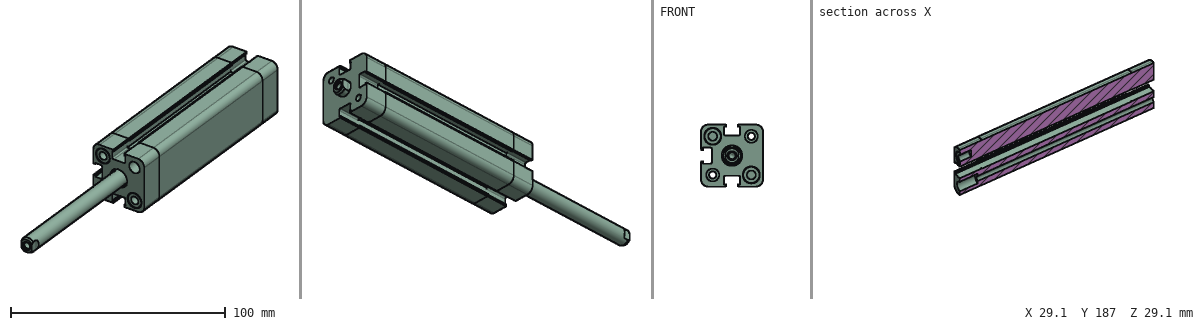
import cadquery as cq
import math


overall_length = 187.0
cap_length = 12.3
tube_length = 83.6
rear_rod_reach = 4.2
body_length = tube_length + 2 * cap_length
front_tip_y = -overall_length / 2
body_rear_y = overall_length / 2 - rear_rod_reach
body_front_y = body_rear_y - body_length

tube_width = 29.05
cap_width = 29.0
corner_radius = 3.5

slot_channel_width = 7.4
slot_depth = 5.1
slot_lip = 1.1
cap_mouth_width = 6.2
slot_floor_radius = 0.75
tube_mouth_width = 5.2
tube_mouth_step = 0.2
slot_angles = (-90, 0, 180)

corner_hole_offset = 9.0
screw_recess_diameter = 8.0
screw_recess_depth = 0.1
screw_seat_diameter = 7.5
screw_seat_depth = 0.2
screw_socket_diameter = 4.13
screw_socket_depth = 6.0
mounting_bore_diameter = 6.0
mounting_bore_depth = 10.0
mounting_hole_diameter = 3.24

rod_diameter = 8.0
rod_clearance_diameter = 9.6
rod_clearance_depth = 2.0
rod_chamfer_length = 1.1
rod_chamfer_depth = 0.6
across_flats = 6.0
flat_length = 3.2
thread_diameter = 3.24
thread_depth = 10.0
thread_mouth_diameter = 4.25
drill_point_angle = 118.0


def bar_along_y(section_width, section_height, center_z, front_y, length):
    """Rectangular bar running from front_y toward +Y, centred on x = 0."""
    return (
        cq.Workplane("XZ", origin=(0, front_y, center_z))
        .rect(section_width, section_height)
        .extrude(-length)
    )


def bar_between(width, low_z, high_z, front_y, length):
    return bar_along_y(width, high_z - low_z, (low_z + high_z) / 2, front_y, length)


def cylinder_along_y(diameter, front_y, length, x=0.0, z=0.0):
    """Cylinder running from front_y toward +Y."""
    return cq.Workplane("XZ", origin=(x, front_y, z)).circle(diameter / 2).extrude(-length)


def cut_slots(bar, cutter):
    """Cut a slot shaped for the top side into every slotted side."""
    for angle in slot_angles:
        bar = bar.cut(cutter.rotate((0, 0, 0), (0, 1, 0), angle))
    return bar


def square_bar(width, front_y, length):
    return bar_along_y(width, width, 0, front_y, length).edges("|Y").fillet(corner_radius)


def channel_below_lip(outer_z, front_y, length):
    """Wide inner part of a top-side slot, from the underside of the lips to the floor."""
    floor_z = outer_z - slot_depth
    return bar_between(slot_channel_width, floor_z, outer_z - slot_lip, front_y, length)


def make_cap(front_y):
    outer_z = cap_width / 2
    channel = channel_below_lip(outer_z, front_y, cap_length)
    channel = channel.edges("|Y and <Z").fillet(slot_floor_radius)
    mouth = bar_between(cap_mouth_width, outer_z - slot_lip, outer_z, front_y, cap_length)
    return cut_slots(square_bar(cap_width, front_y, cap_length), channel.union(mouth))


def make_tube():
    front_y = body_front_y + cap_length
    outer_z = tube_width / 2
    channel = channel_below_lip(outer_z, front_y, tube_length)
    mouth = bar_between(tube_mouth_width, outer_z - slot_lip, outer_z, front_y, tube_length)
    step = bar_between(cap_mouth_width, outer_z - tube_mouth_step, outer_z, front_y, tube_length)
    return cut_slots(square_bar(tube_width, front_y, tube_length), channel.union(mouth).union(step))


def cut_corner_holes(body):
    for x in (-corner_hole_offset, corner_hole_offset):
        recess = cylinder_along_y(screw_recess_diameter, body_front_y, screw_recess_depth, x, -x)
        seat = cylinder_along_y(screw_seat_diameter, body_front_y, screw_seat_depth, x, -x)
        socket_end = screw_seat_depth + screw_socket_depth
        socket = cylinder_along_y(screw_socket_diameter, body_front_y, socket_end, x, -x)
        bore = cylinder_along_y(mounting_bore_diameter, body_front_y, mounting_bore_depth, x, x)
        through = cylinder_along_y(mounting_hole_diameter, body_front_y, body_length, x, x)
        body = body.cut(recess).cut(seat).cut(socket).cut(bore).cut(through)
    return body


def make_body():
    body = make_tube()
    body = body.union(make_cap(body_front_y))
    body = body.union(make_cap(body_rear_y - cap_length))
    body = cut_corner_holes(body)
    return body.cut(cylinder_along_y(rod_clearance_diameter, body_front_y, rod_clearance_depth))


def make_flat_cutter():
    """Cutter for the front wrench flat on the +X side, run out on a quarter round."""
    outer_x = rod_diameter / 2
    flat_x = across_flats / 2
    runout = outer_x - flat_x
    flat_end_y = front_tip_y + flat_length
    mid_x = outer_x - runout * math.cos(math.pi / 4)
    mid_y = flat_end_y + runout * math.sin(math.pi / 4)
    return (
        cq.Workplane("XY")
        .moveTo(flat_x, front_tip_y)
        .lineTo(flat_x, flat_end_y)
        .threePointArc((mid_x, mid_y), (outer_x, flat_end_y + runout))
        .lineTo(outer_x, front_tip_y)
        .close()
        .extrude(outer_x, both=True)
    )


def make_thread_cutter():
    """Countersunk tapping hole with a drill point, entering from the front tip."""
    radius = thread_diameter / 2
    mouth_radius = thread_mouth_diameter / 2
    point_length = radius / math.tan(math.radians(drill_point_angle / 2))
    return (
        cq.Workplane("XY")
        .moveTo(0, front_tip_y)
        .lineTo(mouth_radius, front_tip_y)
        .lineTo(radius, front_tip_y + mouth_radius - radius)
        .lineTo(radius, front_tip_y + thread_depth)
        .lineTo(0, front_tip_y + thread_depth + point_length)
        .close()
        .revolve(360, (0, 0, 0), (0, 1, 0))
    )


def make_rod():
    radius = rod_diameter / 2
    tip_radius = radius - rod_chamfer_depth
    rod = (
        cq.Workplane("XY")
        .moveTo(0, front_tip_y)
        .lineTo(tip_radius, front_tip_y)
        .lineTo(radius, front_tip_y + rod_chamfer_length)
        .lineTo(radius, -front_tip_y - rod_chamfer_length)
        .lineTo(tip_radius, -front_tip_y)
        .lineTo(0, -front_tip_y)
        .close()
        .revolve(360, (0, 0, 0), (0, 1, 0))
    )
    flat = make_flat_cutter()
    thread = make_thread_cutter()
    for cutter in (flat, flat.mirror("YZ"), thread):
        rod = rod.cut(cutter).cut(cutter.mirror("XZ"))
    return rod


result = make_body().union(make_rod())